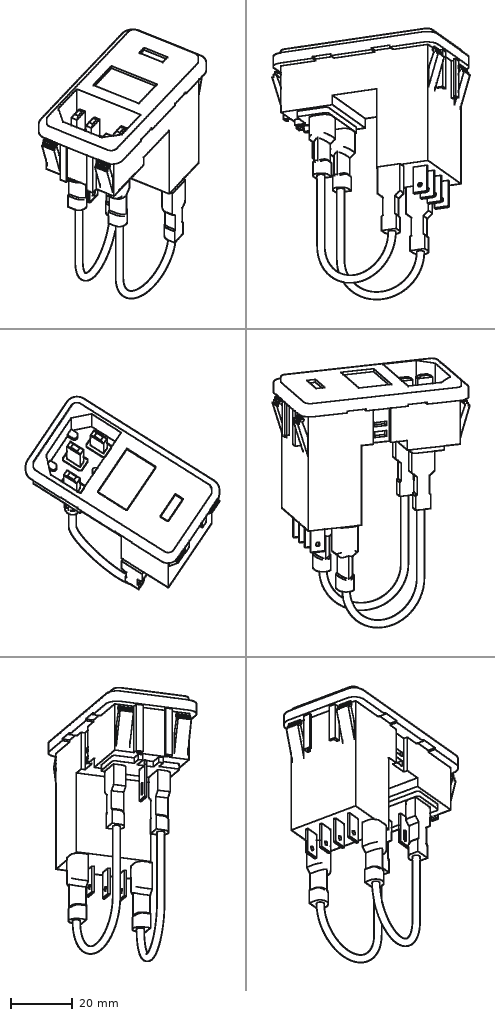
import cadquery as cq
import math


bezel_width = 31.49
bezel_length = 58.65
bezel_thickness = 3.7
bezel_corner_radius = 4.0
lip_width = 26.5
lip_length = 54.3
lip_height = 2.0
lip_corner_radius = 2.2
rim_fillet = 0.5
top_z = bezel_thickness + lip_height
notch_length = 6.5
notch_height = 0.6
notch_y = 10.55

body_width = 26.0
body_length = 52.6
bridge_depth = 12.7
inlet_block_depth = 15.95
deep_block_depth = 39.95
block_inner_y = 7.9

side_panel_y = (-2.25, 3.85)
side_panel_depth = 1.4
side_slot_y = (-1.25, 2.9)
side_slots_z = ((-7.2, -5.8), (-10.9, -8.95))
side_slot_depth = 2.0

rail_width = 2.4
rail_x = 5.1
rail_depth = 2.2
rail_web_width = 0.9
rail_lip_thickness = 0.7
clip_width = 4.65
clip_x = 10.15
clip_reach = (59.52 - body_length) / 2
clip_bottom_z = -14.4
clip_inner_z = -7.8
clip_top_z = -0.75
clip_back_reach = 1.3
clip_back_drop = 1.1
clip_elbow_reach = 1.85
clip_elbow_drop = 2.0
tooth_height = 0.82
tooth_step = 0.5
tooth_count = 3

label_width = 9.0
label_length = 3.0
label_y = 19.1
window_width = 17.45
window_length = 11.3
window_y = 1.65
recess_depth = 1.0

inlet_half_width = 12.2
inlet_back_y = -8.47
inlet_front_y = -24.8
inlet_chamfer_y = -20.0
inlet_chamfer_x = 7.45
inlet_depth = 16.0
inlet_floor_z = top_z - inlet_depth
key_height = 2.0
back_key_width = 2.05
front_key_width = 2.3
key_length = 3.1
front_key_x = 6.28
pin_thickness = 2.1
pin_width = 5.1
pin_tip_thickness = 1.4
pin_tip_width = 2.5
pin_tip_height = 0.7
pin_pocket_width = 4.7
pin_pocket_length = 7.35
pin_pocket_radius = 0.7
pin_pocket_depth = 1.0
line_pin_x = 8.0
line_pin_y = -14.45
line_pin_drop = 4.0
ground_pin_y = -18.36
ground_pin_drop = 1.0

plate_width = 23.4
plate_y = (-21.45, -10.25)
plate_thickness = 1.87
plate_corner_radius = 0.95
prong_inner_x = 2.82
prong_outer_x = 4.38
prong_front_y = -25.3
plate_notch_y = -20.4

tab_thickness = 0.8
tab_width = 4.85
tab_chamfer = 0.35
line_tab_count = 4
line_tab_pitch = 5.6
line_tab_y = 21.5
line_tab_end_z = -49.1
line_tab_hole_diameter = 1.4
line_tab_hole_z = -46.3
ground_tab_end_z = -28.85
ground_tab_slot_length = 4.0
ground_tab_slot_width = 1.4
ground_tab_slot_z = -25.1

receptacle_thickness = 5.2
receptacle_round = 2.7
barrel_width = 8.05
neck_width = 4.35
collar_width = 5.3
taper_height = 1.55
neck_height = 6.1
collar_height = 5.25
crimp_height = taper_height + neck_height + collar_height
collar_step_lean = 45.0
collar_step = (collar_width - neck_width) / 2
receptacle_reach = 30.0
inlet_end_x = 7.75
inlet_end_y = -14.4
inlet_end_top_z = -inlet_block_depth - plate_thickness
inlet_barrel_height = 7.1
block_end_x = 11.2
block_end_y = 12.63
block_end_top_z = -deep_block_depth
block_barrel_height = 9.18

wire_diameter = 2.55


def box(x_range, y_range, z_range):
    """Axis-aligned block between the given limits."""
    size = [high - low for low, high in (x_range, y_range, z_range)]
    corner = (x_range[0], y_range[0], z_range[0])
    return cq.Workplane("XY").box(*size, centered=False).translate(corner)


def rounded_block(width, length, radius, bottom_z, height):
    """Centred block with rounded vertical edges and a filleted top rim."""
    block = cq.Workplane("XY").workplane(offset=bottom_z).rect(width, length).extrude(height)
    return block.edges("|Z").fillet(radius).faces(">Z").edges().fillet(rim_fillet)


def make_bezel():
    bezel = rounded_block(bezel_width, bezel_length, bezel_corner_radius, 0, bezel_thickness)
    lip = rounded_block(lip_width, lip_length, lip_corner_radius, bezel_thickness, lip_height)
    bezel = bezel.union(lip)
    for side in (-1, 1):
        outer_x = side * bezel_width / 2
        inner_x = side * body_width / 2
        x_range = (min(outer_x, inner_x), max(outer_x, inner_x))
        for y in (-notch_y, notch_y):
            y_range = (y - notch_length / 2, y + notch_length / 2)
            bezel = bezel.cut(box(x_range, y_range, (0, notch_height)))
    return bezel


def make_body():
    """U-shaped body: a shallow bridge between the inlet block (-Y) and the deep block (+Y)."""
    end_y = body_length / 2
    outline = [
        (-end_y, 0),
        (-end_y, -inlet_block_depth),
        (-block_inner_y, -inlet_block_depth),
        (-block_inner_y, -bridge_depth),
        (block_inner_y, -bridge_depth),
        (block_inner_y, -deep_block_depth),
        (end_y, -deep_block_depth),
        (end_y, 0),
    ]
    body = cq.Workplane("YZ").polyline(outline).close().extrude(body_width / 2, both=True)
    side_x = -body_width / 2
    panel_x = side_x + side_panel_depth
    body = body.cut(box((side_x, panel_x), side_panel_y, (-bridge_depth, 0)))
    for slot_z in side_slots_z:
        body = body.cut(box((panel_x, panel_x + side_slot_depth), side_slot_y, slot_z))
    return body


def make_clip():
    """Toothed spring clip for the +Y end face, centred on X = 0."""
    face_y = body_length / 2
    tip_y = face_y + clip_reach
    tooth_tip_z = clip_top_z - tooth_count * tooth_height
    outline = [(face_y, clip_inner_z), (face_y, clip_bottom_z), (tip_y, tooth_tip_z)]
    for tooth in range(1, tooth_count + 1):
        y = tip_y - tooth * tooth_step
        z = tooth_tip_z + tooth * tooth_height
        outline += [(y, z - tooth_height), (y, z)]
    outline += [
        (face_y + clip_back_reach, clip_top_z - clip_back_drop),
        (face_y + clip_elbow_reach, clip_top_z - clip_elbow_drop),
    ]
    return cq.Workplane("YZ").polyline(outline).close().extrude(clip_width / 2, both=True)


def make_rail(length):
    """L-shaped guide rail on the +Y end face, at +X, with its lip turned towards X = 0."""
    face_y = body_length / 2
    outer_x = rail_x + rail_width / 2
    rail = box((outer_x - rail_width, outer_x), (face_y, face_y + rail_depth), (-length, 0))
    groove_x = (outer_x - rail_width, outer_x - rail_web_width)
    groove_y = (face_y, face_y + rail_depth - rail_lip_thickness)
    return rail.cut(box(groove_x, groove_y, (-length, 0)))


def make_end_fittings():
    """Two facing rails and two clips on each end face."""
    clip = make_clip()
    fittings = cq.Workplane("XY")
    for turn, rail_length in ((0, bridge_depth), (180, inlet_block_depth)):
        rail = make_rail(rail_length)
        end_set = rail.union(rail.mirror("YZ"))
        for x in (-clip_x, clip_x):
            end_set = end_set.union(clip.translate((x, 0, 0)))
        fittings = fittings.union(end_set.rotate((0, 0, 0), (0, 0, 1), turn))
    return fittings


def top_recess(width, length, y):
    """Rectangular recess in the top face, centred on X = 0."""
    return box((-width / 2, width / 2), (y - length / 2, y + length / 2), (top_z - recess_depth, top_z))


def make_inlet_cavity():
    """Cavity of the appliance inlet with both front corners cut off."""
    outline = [
        (-inlet_half_width, inlet_back_y),
        (inlet_half_width, inlet_back_y),
        (inlet_half_width, inlet_chamfer_y),
        (inlet_chamfer_x, inlet_front_y),
        (-inlet_chamfer_x, inlet_front_y),
        (-inlet_half_width, inlet_chamfer_y),
    ]
    floor = cq.Workplane("XY").workplane(offset=inlet_floor_z)
    return floor.polyline(outline).close().extrude(inlet_depth)


def make_key(x, wall_y, width, direction):
    """Low key on the cavity floor, from a wall to a round end; direction is +1 or -1 along Y."""
    radius = width / 2
    round_y = wall_y + direction * (key_length - radius)
    key = (
        cq.Workplane("XY")
        .workplane(offset=inlet_floor_z)
        .moveTo(x - radius, wall_y)
        .lineTo(x - radius, round_y)
        .threePointArc((x, round_y + direction * radius), (x + radius, round_y))
        .lineTo(x + radius, wall_y)
        .close()
        .extrude(key_height)
    )
    return key


def make_pin(x, y, tip_z):
    """Flat contact pin with a tapered tip, standing on the floor of its pocket."""
    base_z = inlet_floor_z - pin_pocket_depth
    shoulder_z = tip_z - pin_tip_height
    base = cq.Workplane("XY").workplane(offset=base_z).center(x, y)
    shank = base.rect(pin_thickness, pin_width).extrude(shoulder_z - base_z)
    shoulder = cq.Workplane("XY").workplane(offset=shoulder_z).center(x, y)
    tip = (
        shoulder.rect(pin_thickness, pin_width)
        .workplane(offset=pin_tip_height)
        .rect(pin_tip_thickness, pin_tip_width)
        .loft(ruled=True)
    )
    return shank.union(tip)


def make_pin_pocket(x, y):
    floor = cq.Workplane("XY").workplane(offset=inlet_floor_z).center(x, y)
    pocket = floor.rect(pin_pocket_width, pin_pocket_length).extrude(-pin_pocket_depth)
    return pocket.edges("|Z").fillet(pin_pocket_radius)


def add_inlet(housing):
    housing = housing.cut(make_inlet_cavity())
    housing = housing.union(make_key(0, inlet_back_y, back_key_width, -1))
    for x in (-front_key_x, front_key_x):
        housing = housing.union(make_key(x, inlet_front_y, front_key_width, 1))
    pins = [
        (-line_pin_x, line_pin_y, line_pin_drop),
        (line_pin_x, line_pin_y, line_pin_drop),
        (0, ground_pin_y, ground_pin_drop),
    ]
    for x, y, drop in pins:
        housing = housing.cut(make_pin_pocket(x, y)).union(make_pin(x, y, top_z - drop))
    return housing


def make_plate():
    """Plate under the inlet block, with two prongs beside the ground tab."""
    z_range = (-inlet_block_depth - plate_thickness, -inlet_block_depth)
    plate = box((-plate_width / 2, plate_width / 2), plate_y, z_range)
    plate = plate.edges("|Z").fillet(plate_corner_radius)
    prongs = box((-prong_outer_x, prong_outer_x), (prong_front_y, plate_notch_y), z_range)
    gap = box((-prong_inner_x, prong_inner_x), (prong_front_y, plate_notch_y), z_range)
    return plate.union(prongs).cut(gap)


def make_tab(x, y, root_z, end_z):
    """Flat terminal tab lying in a YZ plane, with its end chamfered all round."""
    x_range = (x - tab_thickness / 2, x + tab_thickness / 2)
    y_range = (y - tab_width / 2, y + tab_width / 2)
    tab = box(x_range, y_range, (end_z, root_z))
    return tab.faces("<Z").edges().chamfer(tab_chamfer)


def make_tabs():
    line_hole = (
        cq.Workplane("YZ")
        .center(line_tab_y, line_tab_hole_z)
        .circle(line_tab_hole_diameter / 2)
        .extrude(body_width / 2, both=True)
    )
    ground_slot = (
        cq.Workplane("YZ")
        .center(ground_pin_y, ground_tab_slot_z)
        .slot2D(ground_tab_slot_length, ground_tab_slot_width, 90)
        .extrude(tab_thickness, both=True)
    )
    tabs = make_tab(0, ground_pin_y, -inlet_block_depth, ground_tab_end_z).cut(ground_slot)
    for place in range(line_tab_count):
        x = (place - (line_tab_count - 1) / 2) * line_tab_pitch
        tab = make_tab(x, line_tab_y, -deep_block_depth, line_tab_end_z)
        tabs = tabs.union(tab.cut(line_hole))
    return tabs


def make_housing():
    housing = make_bezel().union(make_body()).union(make_end_fittings())
    housing = housing.cut(top_recess(label_width, label_length, label_y))
    housing = housing.cut(top_recess(window_width, window_length, window_y))
    housing = add_inlet(housing)
    return housing.union(make_plate()).union(make_tabs())


def receptacle_prism(width, lean=0.0, level=0.0):
    """Long prism with two flanks, flat on -X and with both +X corners rounded.

    The flanks are `width` apart at Z = level; a positive lean, in degrees, narrows them upwards.
    """
    half_thickness = receptacle_thickness / 2
    slab = box(
        (-half_thickness, half_thickness),
        (-receptacle_reach, 0),
        (-receptacle_reach, receptacle_reach),
    )
    slab = slab.edges(">X and >Y").fillet(receptacle_round)
    slab = slab.rotate((0, 0, 0), (1, 0, 0), lean).translate((0, width / 2, level))
    return slab.intersect(slab.mirror("XZ"))


def between(low_z, high_z):
    """Slice of space that trims a receptacle prism to its length."""
    across = (-receptacle_reach, receptacle_reach)
    return box(across, across, (low_z, high_z))


def make_receptacle(x, y, top_z, barrel_height, turn):
    """Receptacle hanging from top_z, turned about Z: barrel, taper, neck and crimp collar."""
    taper_z = -barrel_height
    neck_z = taper_z - taper_height
    collar_z = neck_z - neck_height
    end_z = collar_z - collar_height
    taper_lean = -math.degrees(math.atan2((barrel_width - neck_width) / 2, taper_height))
    barrel = receptacle_prism(barrel_width).intersect(receptacle_prism(barrel_width, taper_lean, taper_z))
    barrel = barrel.intersect(between(collar_z, 0))
    neck = receptacle_prism(neck_width).intersect(between(end_z, taper_z))
    collar = receptacle_prism(collar_width)
    collar = collar.intersect(receptacle_prism(collar_width, collar_step_lean, collar_z - collar_step))
    collar = collar.intersect(between(end_z, neck_z))
    receptacle = barrel.union(neck).union(collar)
    return receptacle.rotate((0, 0, 0), (0, 0, 1), turn).translate((x, y, top_z))


def make_wire(side):
    """Wire from a deep-block receptacle, round a half circle and straight up to the inlet side."""
    start_z = block_end_top_z - block_barrel_height - crimp_height
    end_z = inlet_end_top_z - inlet_barrel_height - crimp_height
    start_x = side * block_end_x
    end_x = side * inlet_end_x
    loop_radius = math.hypot(end_x - start_x, inlet_end_y - block_end_y) / 2
    bottom = ((start_x + end_x) / 2, (block_end_y + inlet_end_y) / 2, start_z - loop_radius)
    start = cq.Vector(start_x, block_end_y, start_z)
    turn_end = cq.Vector(end_x, inlet_end_y, start_z)
    loop = cq.Edge.makeThreePointArc(start, cq.Vector(*bottom), turn_end)
    riser = cq.Edge.makeLine(turn_end, cq.Vector(end_x, inlet_end_y, end_z))
    path = cq.Workplane("XY").newObject([cq.Wire.assembleEdges([loop, riser])])
    profile = cq.Workplane("XY").workplane(offset=start_z).center(start_x, block_end_y)
    return profile.circle(wire_diameter / 2).sweep(path)


housing = make_housing()
bodies = [housing.val()]
for side in (-1, 1):
    inlet_receptacle = make_receptacle(
        side * inlet_end_x, inlet_end_y, inlet_end_top_z, inlet_barrel_height, 0
    )
    block_receptacle = make_receptacle(
        side * block_end_x, block_end_y, block_end_top_z, block_barrel_height, 180
    )
    bodies += [inlet_receptacle.val(), block_receptacle.val(), make_wire(side).val()]

result = cq.Compound.makeCompound(bodies)